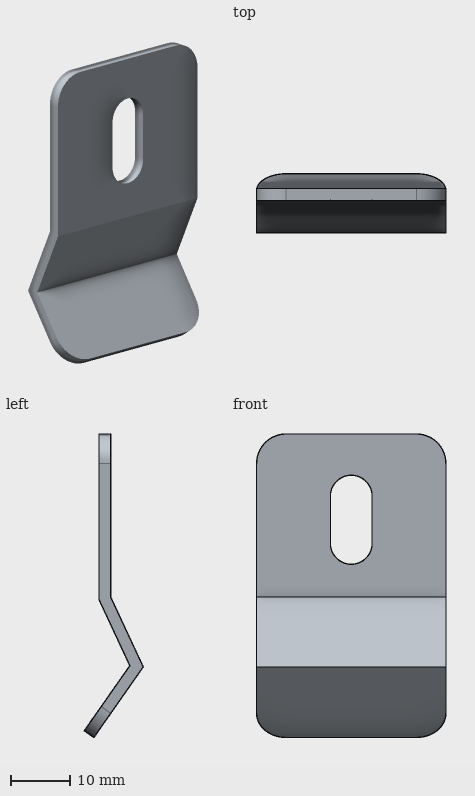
import cadquery as cq
import math

width = 32.0
thickness = 2.0
corner_radius = 5.0

upright_back_length = 28.0
middle_length = 13.0
lower_length = 14.57

middle_lean = math.radians(25.0)
lower_lean = math.radians(35.0)

slot_width = 7.0
slot_length = 15.0
slot_top_margin = 7.0

upper_bend_shift = thickness * math.tan(middle_lean / 2)
lower_bend_shift = thickness * math.tan((middle_lean + lower_lean) / 2)


def step(start, length, lean):
    """Point reached by going down a leg; positive lean moves towards +Y."""
    y, z = start
    return (y + length * math.sin(lean), z - length * math.cos(lean))


def bent_sheet():
    """Constant-thickness profile in the YZ plane, extruded symmetrically about X = 0."""
    front_top = (0.0, 0.0)
    front_upper_bend = step(front_top, upright_back_length - upper_bend_shift, 0.0)
    front_lower_bend = step(front_upper_bend, middle_length, -middle_lean)
    front_tip = step(front_lower_bend, lower_length, lower_lean)

    back_middle_length = middle_length + upper_bend_shift - lower_bend_shift
    back_lower_length = lower_length - lower_bend_shift
    back_top = (thickness, 0.0)
    back_upper_bend = step(back_top, upright_back_length, 0.0)
    back_lower_bend = step(back_upper_bend, back_middle_length, -middle_lean)
    back_tip = step(back_lower_bend, back_lower_length, lower_lean)

    outline = [
        front_top,
        front_upper_bend,
        front_lower_bend,
        front_tip,
        back_tip,
        back_lower_bend,
        back_upper_bend,
        back_top,
    ]
    return cq.Workplane("YZ").polyline(outline).close().extrude(width / 2, both=True)


def round_corners(sheet):
    """Round the two top corners and the two corners of the lower tip."""
    tip_normal = (0.0, math.cos(lower_lean), math.sin(lower_lean))
    tip_edges = cq.selectors.ParallelDirSelector(cq.Vector(*tip_normal))
    rounded = sheet.faces(">Z").edges("|Y").fillet(corner_radius)
    return rounded.edges(tip_edges).fillet(corner_radius)


def slot_cutter():
    """Vertical obround passing through the upright plate."""
    center_z = -slot_top_margin - slot_length / 2
    return (
        cq.Workplane("XZ", origin=(0.0, 0.0, center_z))
        .slot2D(slot_length, slot_width, angle=90)
        .extrude(-thickness)
    )


result = round_corners(bent_sheet()).cut(slot_cutter())